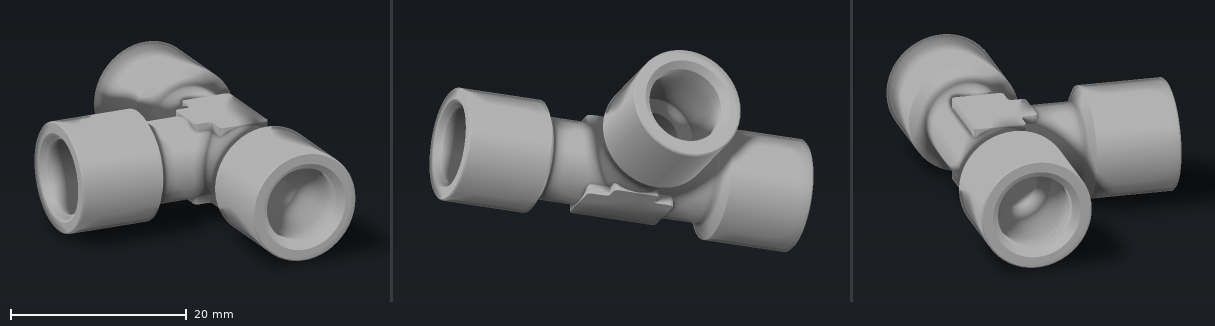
import cadquery as cq
import math

ARM_LENGTH = 21.0
SOCKET_RADIUS = 6.5
SOCKET_LENGTH = 10.0
RIM_CHAMFER = 0.15

NECK_RADIUS = 4.765
SHOULDER_SLOPE = math.radians(60)
SHOULDER_FILLET = 0.5

BORE_RADIUS = 3.005
SOCKET_BORE_RADIUS = 4.39
SOCKET_BORE_DEPTH = 10.0
MOUTH_RADIUS = 5.15
MOUTH_SLOPE = math.radians(45)
DRILL_SLOPE = math.radians(59)

PAD_HEIGHT = 4.87
PAD_WIDTH = 10.5
PAD_BACK = 3.05
PAD_FRONT = -3.02
PAD_STEM_WIDTH = 5.45
PAD_STEM_FRONT = -5.05
PAD_CORNER_RADIUS = 0.5

ARM_ANGLES = (0, 180, 270)


def place_arm(arm, angle):
    return arm.rotate((0, 0, 0), (0, 0, 1), angle)


def make_arm_body():
    """Solid neck, shoulder and socket along +X."""
    socket_start = ARM_LENGTH - SOCKET_LENGTH
    fillet_rise = SHOULDER_FILLET * (1 - math.cos(SHOULDER_SLOPE))
    fillet_run = SHOULDER_FILLET * math.sin(SHOULDER_SLOPE)
    cone_radius = NECK_RADIUS + fillet_rise
    cone_start = socket_start - (SOCKET_RADIUS - cone_radius) / math.tan(SHOULDER_SLOPE)
    neck_end = cone_start - fillet_run
    half_slope = SHOULDER_SLOPE / 2
    fillet_middle = (
        neck_end + SHOULDER_FILLET * math.sin(half_slope),
        NECK_RADIUS + SHOULDER_FILLET * (1 - math.cos(half_slope)),
    )
    return (
        cq.Workplane("XY")
        .lineTo(0, NECK_RADIUS)
        .lineTo(neck_end, NECK_RADIUS)
        .threePointArc(fillet_middle, (cone_start, cone_radius))
        .lineTo(socket_start, SOCKET_RADIUS)
        .lineTo(ARM_LENGTH - RIM_CHAMFER, SOCKET_RADIUS)
        .lineTo(ARM_LENGTH, SOCKET_RADIUS - RIM_CHAMFER)
        .lineTo(ARM_LENGTH, 0)
        .close()
        .revolve(360, (0, 0, 0), (1, 0, 0))
    )


def make_arm_bore():
    """Through bore, conical step, socket bore and tapered mouth along +X."""
    step_end = ARM_LENGTH - SOCKET_BORE_DEPTH
    step_start = step_end - (SOCKET_BORE_RADIUS - BORE_RADIUS) / math.tan(DRILL_SLOPE)
    mouth_start = ARM_LENGTH - (MOUTH_RADIUS - SOCKET_BORE_RADIUS) / math.tan(MOUTH_SLOPE)
    return (
        cq.Workplane("XY")
        .lineTo(0, BORE_RADIUS)
        .lineTo(step_start, BORE_RADIUS)
        .lineTo(step_end, SOCKET_BORE_RADIUS)
        .lineTo(mouth_start, SOCKET_BORE_RADIUS)
        .lineTo(ARM_LENGTH, MOUTH_RADIUS)
        .lineTo(ARM_LENGTH, 0)
        .close()
        .revolve(360, (0, 0, 0), (1, 0, 0))
    )


def make_pads():
    """T-shaped block whose top and bottom faces stand proud of the necks."""
    half_width = PAD_WIDTH / 2
    half_stem = PAD_STEM_WIDTH / 2
    outline = [
        (-half_width, PAD_BACK),
        (half_width, PAD_BACK),
        (half_width, PAD_FRONT),
        (half_stem, PAD_FRONT),
        (half_stem, PAD_STEM_FRONT),
        (-half_stem, PAD_STEM_FRONT),
        (-half_stem, PAD_FRONT),
        (-half_width, PAD_FRONT),
    ]
    return (
        cq.Workplane("XY")
        .polyline(outline)
        .close()
        .extrude(PAD_HEIGHT, both=True)
        .edges("|Z")
        .fillet(PAD_CORNER_RADIUS)
    )


result = make_pads()
for arm_angle in ARM_ANGLES:
    result = result.union(place_arm(make_arm_body(), arm_angle))
for arm_angle in ARM_ANGLES:
    result = result.cut(place_arm(make_arm_bore(), arm_angle))